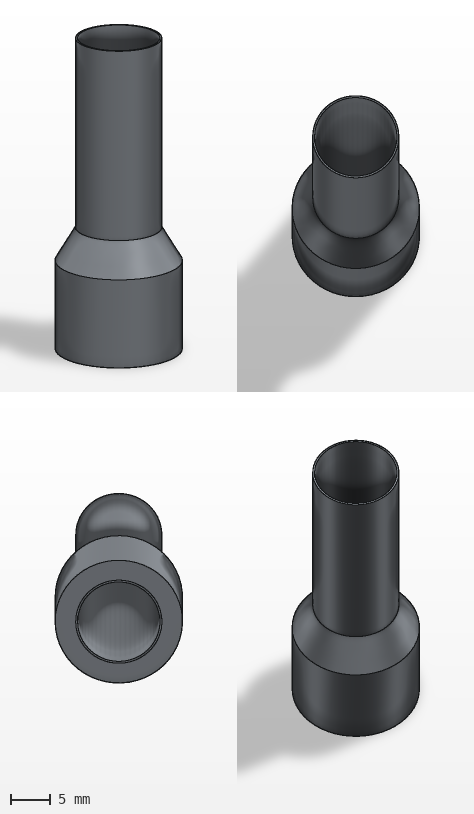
import cadquery as cq

total_length = 41.0

tube_outer_diameter = 10.82
tube_wall = 0.25
tube_outer_radius = tube_outer_diameter / 2
tube_inner_radius = tube_outer_radius - tube_wall

collar_diameter = 16.0
collar_radius = collar_diameter / 2
collar_straight_height = 11.65
collar_height = 16.0


def make_tube():
    """Thin-walled tube running the full length along Z."""
    return (
        cq.Workplane("XY")
        .circle(tube_outer_radius)
        .circle(tube_inner_radius)
        .extrude(total_length)
    )


def make_collar():
    """Collar bored to fit the tube, tapering to the tube's outside at its top."""
    half_section = (
        cq.Workplane("XZ")
        .moveTo(tube_outer_radius, 0)
        .lineTo(collar_radius, 0)
        .lineTo(collar_radius, collar_straight_height)
        .lineTo(tube_outer_radius, collar_height)
        .close()
    )
    return half_section.revolve(360, (0, 0, 0), (0, 1, 0))


tube = make_tube()
collar = make_collar()

result = cq.Compound.makeCompound([tube.val(), collar.val()])